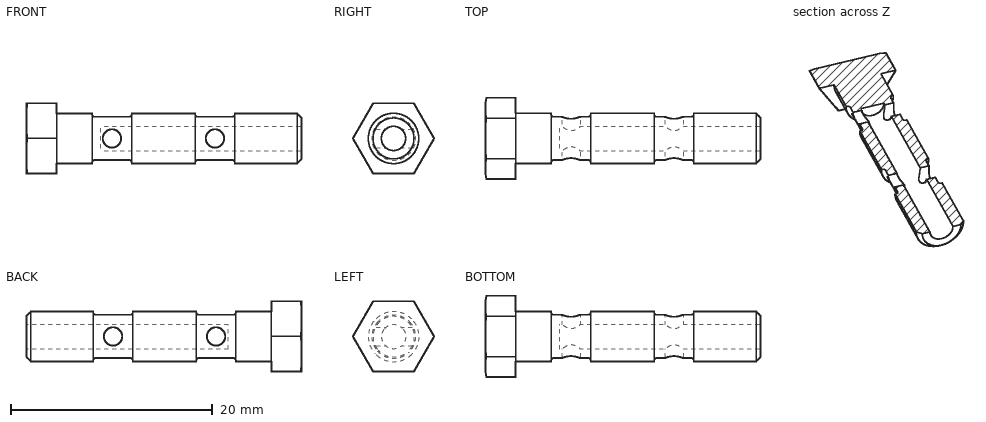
import cadquery as cq
import math

length = 27.3

across_flats = 7.0
across_corners = across_flats / math.cos(math.radians(30))
head_height = 3.0
head_chamfer_depth = 0.1

shank_diameter = 5.0
tip_chamfer = 0.46

groove_diameter = 4.3
groove_width = 3.9
groove_fillet = 0.22
first_groove_center = 8.5
groove_pitch = 10.2
groove_centers = [first_groove_center, first_groove_center + groove_pitch]
cross_hole_diameter = 1.8

bore_diameter = 2.4
bore_overrun = 0.27
bore_start = first_groove_center - cross_hole_diameter / 2 - bore_overrun


def cylinder(start, end, diameter):
    """Round bar along the bolt axis between two X positions."""
    return cq.Workplane("YZ", origin=(start, 0, 0)).circle(diameter / 2).extrude(end - start)


def head():
    """Hexagonal prism whose outer corners are trimmed by a shallow cone."""
    prism = cq.Workplane("YZ").polygon(6, across_corners).extrude(head_height)
    trim = (
        cq.Workplane("XY")
        .lineTo(0, across_flats / 2)
        .lineTo(head_chamfer_depth, across_corners / 2)
        .lineTo(head_height, across_corners / 2)
        .lineTo(head_height, 0)
        .close()
        .revolve(360, (0, 0, 0), (1, 0, 0))
    )
    return prism.intersect(trim)


def shank():
    """Round shank with a chamfered tip."""
    return cylinder(head_height, length, shank_diameter).faces(">X").chamfer(tip_chamfer)


def groove(center):
    """Ring of material removed by one groove, its floor corners rounded."""
    start = center - groove_width / 2
    end = center + groove_width / 2
    outer = cylinder(start, end, shank_diameter + 2 * groove_fillet)
    core = cylinder(start, end, groove_diameter)
    floor_edges = cq.selectors.RadiusNthSelector(0)
    return outer.cut(core).edges("%CIRCLE").edges(floor_edges).fillet(groove_fillet)


def cross_hole(center):
    """Hole along Y through the full shank."""
    return (
        cq.Workplane("XZ", origin=(center, 0, 0))
        .circle(cross_hole_diameter / 2)
        .extrude(shank_diameter, both=True)
    )


result = head().union(shank())
for groove_center in groove_centers:
    result = result.cut(groove(groove_center)).cut(cross_hole(groove_center))
result = result.cut(cylinder(bore_start, length, bore_diameter))